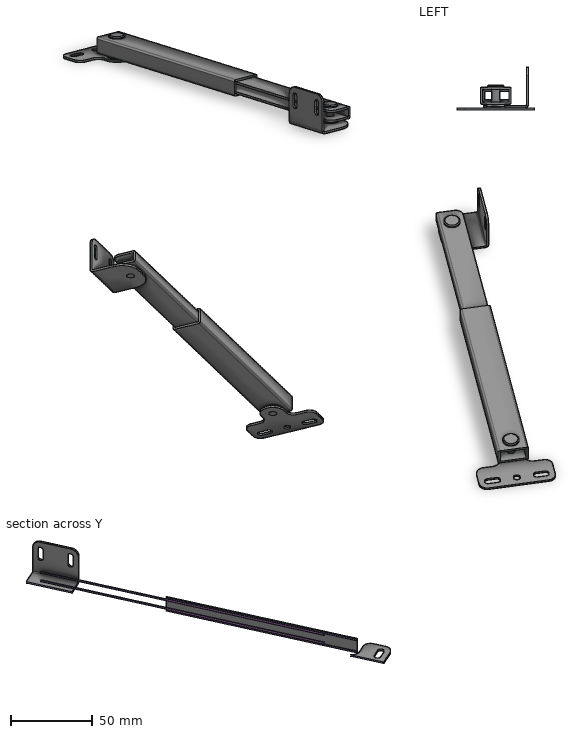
import cadquery as cq

OVERALL_LENGTH = 236.0
OVERALL_HEIGHT = 26.5
SHEET = 1.5
CORNER_RADIUS = 5.0

SHANK_DIAMETER = 5.0
HEAD_DIAMETER = 10.1
HEAD_HEIGHT = 1.5
HEAD_CHAMFER = 0.7
COLLAR_DIAMETER = 11.5
COLLAR_HEIGHT = 2.1
COLLAR_TAPER_HEIGHT = 1.5
COLLAR_TAPER_WIDTH = 0.5
BASE_PIVOT_X = 25.7
ANGLE_PIVOT_X = 220.7

PLATE_LENGTH = 18.0
PLATE_WIDTH = 48.0
TONGUE_WIDTH = 15.8
PLATE_HOLE_X = 6.0
PLATE_HOLE_DIAMETER = 4.2
PLATE_SLOT_Y = 15.3
SLOT_LENGTH = 10.0

TUBE_START_X = PLATE_LENGTH
TUBE_END_X = 143.7
TUBE_WIDTH = 19.0
TUBE_HEIGHT = 10.6
TUBE_BOTTOM_Z = SHEET + COLLAR_HEIGHT
FOLD_RADIUS = 1.2

CHANNEL_START_X = 35.5
CHANNEL_END_X = 230.3
CHANNEL_WIDTH = TUBE_WIDTH - 2 * SHEET
CHANNEL_HEIGHT = TUBE_HEIGHT - 2 * SHEET
CHANNEL_BOTTOM_Z = TUBE_BOTTOM_Z + SHEET

ANGLE_LENGTH = 30.2
ANGLE_BACK_Y = 7.5
ANGLE_FRONT_Y = -20.3
ANGLE_BOTTOM_Z = CHANNEL_BOTTOM_Z - COLLAR_HEIGHT - SHEET
ANGLE_INNER_BEND = 0.7
ANGLE_LEG_RADIUS = 11.5
ANGLE_SLOT_WIDTH = 3.5
ANGLE_SLOT_SPACING = 19.8
ANGLE_SLOT_Z = 17.7
ANGLE_START_X = OVERALL_LENGTH - ANGLE_LENGTH
ANGLE_MIDDLE_X = OVERALL_LENGTH - ANGLE_LENGTH / 2


def box_between(x_range, y_range, z_range):
    """Box filling the given ranges along X, Y and Z."""
    (x0, x1), (y0, y1), (z0, z1) = x_range, y_range, z_range
    return cq.Workplane("XY").box(x1 - x0, y1 - y0, z1 - z0, centered=False).translate((x0, y0, z0))


def drill_pivot(body, pivot_x):
    """Cut the rivet shank hole through the full height of a body."""
    drill = cq.Workplane("XY").center(pivot_x, 0).circle(SHANK_DIAMETER / 2).extrude(OVERALL_HEIGHT)
    return body.cut(drill)


def make_base_plate():
    """T-shaped mounting plate with a round-ended tongue under the tube."""
    tongue_radius = TONGUE_WIDTH / 2
    half_width = PLATE_WIDTH / 2
    plate = box_between((0, PLATE_LENGTH), (-half_width, half_width), (0, SHEET))
    plate = plate.edges("|Z").fillet(CORNER_RADIUS)
    tongue = box_between((PLATE_LENGTH / 2, BASE_PIVOT_X), (-tongue_radius, tongue_radius), (0, SHEET))
    tongue_end = cq.Workplane("XY").center(BASE_PIVOT_X, 0).circle(tongue_radius).extrude(SHEET)
    plate = plate.union(tongue)
    inner_corners = cq.selectors.BoxSelector(
        (PLATE_LENGTH - SHEET, -half_width / 2, -SHEET),
        (PLATE_LENGTH + SHEET, half_width / 2, 2 * SHEET),
    )
    plate = plate.edges("|Z").edges(inner_corners).fillet(CORNER_RADIUS)
    plate = plate.union(tongue_end)

    slots = (
        cq.Workplane("XY")
        .pushPoints([(PLATE_HOLE_X, -PLATE_SLOT_Y), (PLATE_HOLE_X, PLATE_SLOT_Y)])
        .slot2D(SLOT_LENGTH, PLATE_HOLE_DIAMETER, 90)
        .extrude(SHEET)
    )
    hole = cq.Workplane("XY").center(PLATE_HOLE_X, 0).circle(PLATE_HOLE_DIAMETER / 2).extrude(SHEET)
    return drill_pivot(plate.cut(slots).cut(hole), BASE_PIVOT_X)


def make_tube():
    """Rectangular tube, open at both ends."""
    half_width = TUBE_WIDTH / 2
    outside = box_between(
        (TUBE_START_X, TUBE_END_X),
        (-half_width, half_width),
        (TUBE_BOTTOM_Z, TUBE_BOTTOM_Z + TUBE_HEIGHT),
    ).edges("|X").fillet(FOLD_RADIUS)
    bore = box_between(
        (TUBE_START_X, TUBE_END_X),
        (-half_width + SHEET, half_width - SHEET),
        (CHANNEL_BOTTOM_Z, CHANNEL_BOTTOM_Z + CHANNEL_HEIGHT),
    )
    return drill_pivot(outside.cut(bore), BASE_PIVOT_X)


def make_channel():
    """U channel with its web at +Y and rounded flange corners at -Y."""
    half_width = CHANNEL_WIDTH / 2
    top_z = CHANNEL_BOTTOM_Z + CHANNEL_HEIGHT
    x_range = (CHANNEL_START_X, CHANNEL_END_X)
    channel = box_between(x_range, (-half_width, half_width), (CHANNEL_BOTTOM_Z, top_z))
    channel = channel.edges("|X and >Y").fillet(FOLD_RADIUS)
    channel = channel.edges("|Z and <Y").fillet(CORNER_RADIUS)
    inside = box_between(
        x_range, (-half_width, half_width - SHEET), (CHANNEL_BOTTOM_Z + SHEET, top_z - SHEET)
    )
    return drill_pivot(channel.cut(inside), ANGLE_PIVOT_X)


def make_angle_bracket():
    """Bent bracket: a flat leg under the channel and an upright leg with two slots."""
    x_range = (ANGLE_START_X, OVERALL_LENGTH)
    bracket = box_between(x_range, (ANGLE_FRONT_Y, ANGLE_BACK_Y), (ANGLE_BOTTOM_Z, OVERALL_HEIGHT))
    bracket = bracket.edges("|X and <Y and <Z").fillet(ANGLE_INNER_BEND + SHEET)
    inside = box_between(
        x_range,
        (ANGLE_FRONT_Y + SHEET, ANGLE_BACK_Y),
        (ANGLE_BOTTOM_Z + SHEET, OVERALL_HEIGHT),
    ).edges("|X and <Y and <Z").fillet(ANGLE_INNER_BEND)
    bracket = bracket.cut(inside)
    bracket = bracket.edges("|Z and >Y").fillet(ANGLE_LEG_RADIUS)
    bracket = bracket.edges("|Y and >Z").fillet(CORNER_RADIUS)

    slots = (
        cq.Workplane("XZ", origin=(ANGLE_MIDDLE_X, ANGLE_FRONT_Y, ANGLE_SLOT_Z))
        .pushPoints([(-ANGLE_SLOT_SPACING / 2, 0), (ANGLE_SLOT_SPACING / 2, 0)])
        .slot2D(SLOT_LENGTH, ANGLE_SLOT_WIDTH, 90)
        .extrude(-SHEET)
    )
    return drill_pivot(bracket.cut(slots), ANGLE_PIVOT_X)


def make_rivet(pivot_x, bottom_z, arm_height):
    """Rivet flush with the sheet below, with a spacer collar under the arm and a head on top of it."""
    shank_radius = SHANK_DIAMETER / 2
    head_radius = HEAD_DIAMETER / 2
    collar_radius = COLLAR_DIAMETER / 2
    collar_bottom = bottom_z + SHEET
    collar_top = collar_bottom + COLLAR_HEIGHT
    head_bottom = collar_top + arm_height
    head_top = head_bottom + HEAD_HEIGHT
    profile = [
        (0, bottom_z),
        (shank_radius, bottom_z),
        (shank_radius, collar_bottom),
        (collar_radius, collar_bottom),
        (collar_radius, collar_top - COLLAR_TAPER_HEIGHT),
        (collar_radius - COLLAR_TAPER_WIDTH, collar_top),
        (shank_radius, collar_top),
        (shank_radius, head_bottom),
        (head_radius, head_bottom),
        (head_radius, head_top - HEAD_CHAMFER),
        (head_radius - HEAD_CHAMFER, head_top),
        (0, head_top),
    ]
    rivet = cq.Workplane("XZ").polyline(profile).close().revolve(360, (0, 0), (0, 1))
    return rivet.translate((pivot_x, 0, 0))


base_plate = make_base_plate()
tube = make_tube()
channel = make_channel()
angle_bracket = make_angle_bracket()

rivet_places = [
    (BASE_PIVOT_X, 0, TUBE_HEIGHT),
    (ANGLE_PIVOT_X, ANGLE_BOTTOM_Z, CHANNEL_HEIGHT),
]
rivets = [make_rivet(*place) for place in rivet_places]

result = cq.Compound.makeCompound(
    [
        base_plate.val(),
        tube.val(),
        channel.val(),
        angle_bracket.val(),
        *[rivet.val() for rivet in rivets],
    ]
)